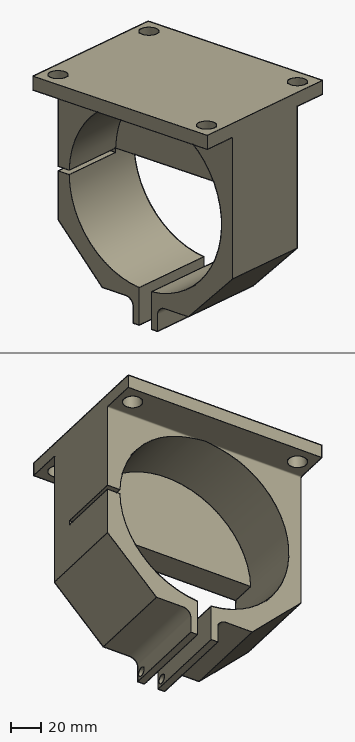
import cadquery as cq

width = 149.9
plate_length = 117.5
plate_thickness = 10.0
total_height = 167.6
plate_bottom = total_height - plate_thickness
plate_hole_diameter = 13.2
plate_hole_spacing_x = 127.5
plate_hole_spacing_y = 92.5

body_depth = 66.0
front_y = -body_depth / 2
back_y = body_depth / 2
body_bottom = 18.1
corner_chamfer = 37.9
root_fillet = 1.0

bore_radius = 65.4
bore_z = plate_bottom - bore_radius

gap_width = 10.5
lug_thickness = 5.2
lug_fillet = 6.2
lug_hole_diameter = 6.7
lug_hole_z = 5.4
lug_hole_inset = 4.7

slot_height = 3.2
slot_depth = 47.3
slot_top = 94.2
wall_thickness = body_depth - slot_depth


def box(x_range, y_range, z_range):
    """Box spanning the given (low, high) ranges."""
    (x0, x1), (y0, y1), (z0, z1) = x_range, y_range, z_range
    return cq.Workplane("XY").box(x1 - x0, y1 - y0, z1 - z0, centered=False).translate((x0, y0, z0))


def make_plate():
    plate = box(
        (-width / 2, width / 2),
        (-plate_length / 2, plate_length / 2),
        (plate_bottom, total_height),
    )
    return (
        plate.faces(">Z").workplane(origin=(0, 0, total_height))
        .rect(plate_hole_spacing_x, plate_hole_spacing_y, forConstruction=True)
        .vertices().hole(plate_hole_diameter)
    )


def make_body():
    """Clamp outline with chamfered lower corners and filleted lugs."""
    half = width / 2
    lug_x = gap_width / 2 + lug_thickness
    return (
        cq.Workplane("XZ", origin=(0, back_y, 0))
        .moveTo(-half, plate_bottom)
        .lineTo(-half, body_bottom + corner_chamfer)
        .lineTo(-half + corner_chamfer, body_bottom)
        .lineTo(-lug_x - lug_fillet, body_bottom)
        .radiusArc((-lug_x, body_bottom - lug_fillet), lug_fillet)
        .lineTo(-lug_x, 0)
        .lineTo(lug_x, 0)
        .lineTo(lug_x, body_bottom - lug_fillet)
        .radiusArc((lug_x + lug_fillet, body_bottom), lug_fillet)
        .lineTo(half - corner_chamfer, body_bottom)
        .lineTo(half, body_bottom + corner_chamfer)
        .lineTo(half, plate_bottom)
        .close().extrude(body_depth)
    )


def make_root_fillet():
    """Concave fillet between the front of the body and the plate."""
    return (
        cq.Workplane("YZ", origin=(-width / 2, 0, 0))
        .moveTo(front_y, plate_bottom)
        .lineTo(front_y - root_fillet, plate_bottom)
        .radiusArc((front_y, plate_bottom - root_fillet), root_fillet)
        .close().extrude(width)
    )


def cylinder_along_y(radius, y_start, y_end):
    return (
        cq.Workplane("XZ", origin=(0, y_end, bore_z))
        .circle(radius).extrude(y_end - y_start)
    )


def make_wall():
    """Back wall filling the bore above the top of the slot."""
    upper_half = box(
        (-width / 2, width / 2),
        (back_y - wall_thickness, back_y),
        (slot_top, plate_bottom),
    )
    return upper_half.intersect(cylinder_along_y(bore_radius, front_y, back_y))


bore = cylinder_along_y(bore_radius, front_y - root_fillet, back_y)
lug_gap = box((-gap_width / 2, gap_width / 2), (front_y, back_y), (0, bore_z))
side_slot = box((-width / 2, 0), (front_y, front_y + slot_depth), (slot_top - slot_height, slot_top))
lug_hole = (
    cq.Workplane("YZ", origin=(-width / 2, 0, 0))
    .center(back_y - lug_hole_inset, lug_hole_z)
    .circle(lug_hole_diameter / 2).extrude(width)
)

clamp = make_body().union(make_root_fillet())
for cutter in (bore, lug_gap, side_slot, lug_hole):
    clamp = clamp.cut(cutter)

result = make_plate().union(clamp).union(make_wall())